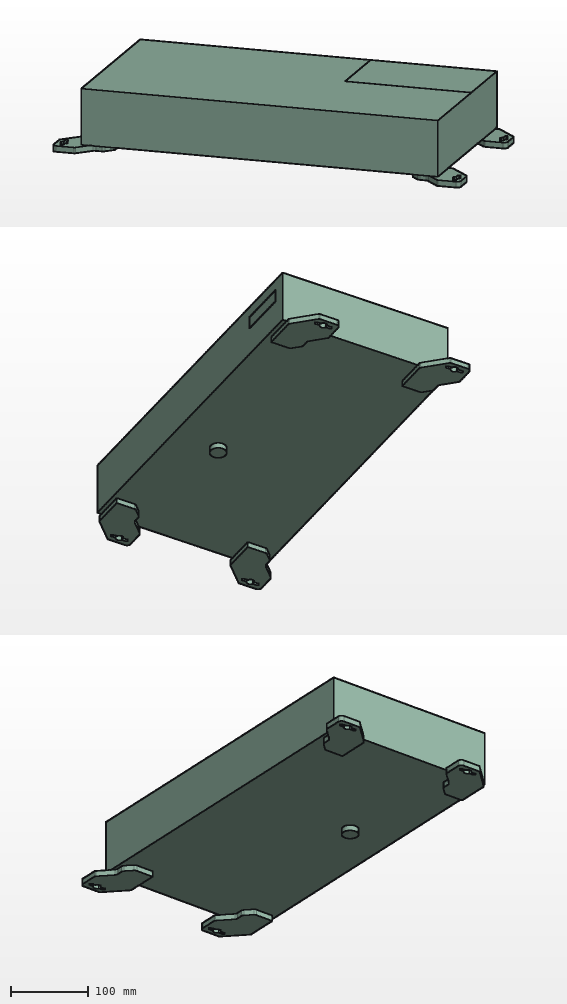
import cadquery as cq

overall_length = 555.0
overall_depth = 261.5
overall_height = 83.8

housing_length = 486.0
housing_depth = 246.0
front_overhang = 15.0
bracket_thickness = 8.0
panel_thickness = 0.1
housing_height = overall_height - bracket_thickness - panel_thickness
housing_left = -housing_length / 2
housing_right = housing_length / 2
housing_back = front_overhang + housing_depth

panel_length = 172.0
panel_depth = 107.0

plate_length = 68.0
plate_height = 18.0
plate_thickness = overall_depth - housing_back
plate_side_distance = 18.0
plate_left = housing_left + plate_side_distance
plate_bottom = 49.0

bracket_length = 75.0
bracket_depth = 60.0
bracket_spacing = 195.0
bracket_chamfer = 29.0
tab_length = 30.5
step_depth = 20.0
step_length = 12.5
corner_radius = 5.0
small_corner_radius = 2.0

slot_width = 4.0
slot_length = 25.0
keyhole_diameter = 10.0
slot_edge_distance = 10.0
slot_front_distance = 19.2

foot_diameter = 22.0
foot_x = 42.2
foot_y = 195.0


def make_housing():
    housing = cq.Workplane("XY").box(
        housing_length, housing_depth, housing_height, centered=(True, False, False)
    )
    return housing.translate((0, front_overhang, bracket_thickness))


def make_panel():
    corner = (
        housing_right - panel_length,
        housing_back - panel_depth,
        bracket_thickness + housing_height,
    )
    panel = cq.Workplane("XY").box(panel_length, panel_depth, panel_thickness, centered=False)
    return panel.translate(corner)


def make_nameplate():
    plate = cq.Workplane("XY").box(plate_length, plate_thickness, plate_height, centered=False)
    return plate.translate((plate_left, housing_back, plate_bottom))


def round_corners(plate, corners, radius):
    """Round the vertical plate edges that stand on the given outline corners."""
    for x, y in corners:
        edge = cq.selectors.NearestToPointSelector((x, y, bracket_thickness / 2))
        plate = plate.edges("|Z").edges(edge).fillet(radius)
    return plate


def make_left_bracket():
    """Left bracket with the front corner of its tab at the origin."""
    step_start = tab_length + step_depth
    step_end = step_start + step_length
    end_chamfer = bracket_length - step_end
    outline = [
        (0, 0),
        (tab_length, 0),
        (step_start, step_depth),
        (step_end, step_depth),
        (bracket_length, step_depth + end_chamfer),
        (bracket_length, bracket_depth),
        (bracket_chamfer, bracket_depth),
        (0, bracket_depth - bracket_chamfer),
    ]
    plate = cq.Workplane("XY").polyline(outline).close().extrude(bracket_thickness)
    small_corners = [outline[1]] + outline[6:]
    large_corners = [outline[0]] + outline[2:5]
    plate = round_corners(plate, small_corners, small_corner_radius)
    plate = round_corners(plate, large_corners, corner_radius)
    keyhole = (
        cq.Workplane("XY")
        .center(slot_edge_distance, slot_front_distance)
        .circle(keyhole_diameter / 2)
        .extrude(bracket_thickness)
    )
    slot = (
        cq.Workplane("XY")
        .center(slot_edge_distance, slot_front_distance)
        .slot2D(slot_length, slot_width, 90)
        .extrude(bracket_thickness)
    )
    return plate.cut(keyhole).cut(slot)


def make_foot():
    foot = cq.Workplane("XY").center(foot_x, foot_y).circle(foot_diameter / 2)
    return foot.extrude(bracket_thickness)


result = make_housing().union(make_panel()).union(make_nameplate()).union(make_foot())
for bracket_y in (0, bracket_spacing):
    left_bracket = make_left_bracket().translate((-overall_length / 2, bracket_y, 0))
    right_bracket = left_bracket.mirror("YZ")
    result = result.union(left_bracket).union(right_bracket)